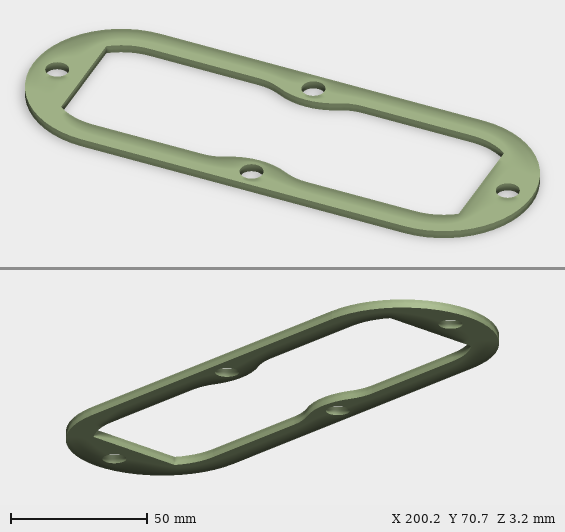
import cadquery as cq
import math

length = 200.2
width = 70.7
thickness = 3.2

rim_width = 10.0
window_length = 159.7

swelling_depth = 5.0
swelling_radius = 26.0
blend_radius = 20.0

hole_diameter = 8.8
end_hole_spacing = 181.0
side_hole_spacing = 55.5

window_width = width - 2 * rim_width
slot_length = length - 2 * rim_width


def make_plate():
    return cq.Workplane("XY").slot2D(length, width).extrude(thickness)


def make_swelling(side):
    """Material added to the rim on one long side (side is +1 or -1)."""
    rim_y = window_width / 2
    crest_y = rim_y - swelling_depth
    radius_sum = swelling_radius + blend_radius
    turn = math.acos(1 - swelling_depth / radius_sum)

    def crest_point(angle):
        return (
            swelling_radius * math.sin(angle),
            side * (crest_y + swelling_radius * (1 - math.cos(angle))),
        )

    def blend_point(angle):
        return (
            radius_sum * math.sin(turn) - blend_radius * math.sin(angle),
            side * (rim_y - blend_radius * (1 - math.cos(angle))),
        )

    def mirrored(point):
        return (-point[0], point[1])

    rim_end = blend_point(0)
    blend_middle = blend_point(turn / 2)
    tangent_point = crest_point(turn)
    outer_y = side * (rim_y + rim_width / 2)
    return (
        cq.Workplane("XY")
        .moveTo(*mirrored(rim_end))
        .threePointArc(mirrored(blend_middle), mirrored(tangent_point))
        .threePointArc(crest_point(0), tangent_point)
        .threePointArc(blend_middle, rim_end)
        .lineTo(rim_end[0], outer_y)
        .lineTo(-rim_end[0], outer_y)
        .close()
        .extrude(thickness)
    )


def make_window():
    slot = cq.Workplane("XY").slot2D(slot_length, window_width).extrude(thickness)
    square_ends = cq.Workplane("XY").rect(window_length, width).extrude(thickness)
    window = slot.intersect(square_ends)
    for side in (1, -1):
        window = window.cut(make_swelling(side))
    return window


def make_holes():
    end_x = end_hole_spacing / 2
    side_y = side_hole_spacing / 2
    centers = [(end_x, 0), (-end_x, 0), (0, side_y), (0, -side_y)]
    return cq.Workplane("XY").pushPoints(centers).circle(hole_diameter / 2).extrude(thickness)


result = make_plate().cut(make_window()).cut(make_holes())